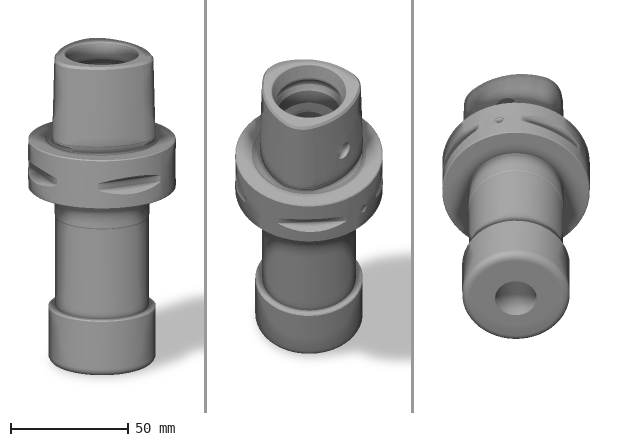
import cadquery as cq
import math

TOTAL_HEIGHT = 138.0
NUT_TOP_Z = 25.3
SHANK_STEP_Z = 65.8
NECK_Z = 77.0
FLANGE_BOTTOM_Z = 78.1
GRIP_Z = 88.0
FLANGE_TOP_Z = 100.0
TAPER_FOOT_Z = 102.3
TAPER_BOTTOM_Z = 102.7
SIDE_HOLE_Z = 115.5
TAPER_TOP_Z = 136.9

FLANGE_DIAMETER = 63.0
NECK_DIAMETER = 40.8
UPPER_SHANK_DIAMETER = 40.5
LOWER_SHANK_DIAMETER = 40.0
NUT_DIAMETER = 46.0
NUT_BOTTOM_FILLET = 3.3
EDGE_CHAMFER = 0.4

MEAN_DIAMETER_BOTTOM = 44.2
MEAN_DIAMETER_TOP = 42.4
LOBE_ECCENTRICITY = 1.5
LOBE_HALF_ANGLE = 28
TAPER_TOP_INSET = 0.8
TAPER_FOOT_INSET = 0.1
LOBES = 3

RELIEF_RING_RADIUS = 23.6
RELIEF_RING_HEIGHT = 0.7
RELIEF_GROOVE_RADIUS = 1.1

THROUGH_DIAMETER = 17.8
THROUGH_CHAMFER = 0.8
DEEP_BORE_DIAMETER = 27.0
DEEP_BORE_FLOOR_Z = 117.3
DEEP_BORE_TOP_Z = 124.6
GROOVE_DIAMETER = 32.0
GROOVE_FLOOR_DIAMETER = 30.0
GROOVE_FLOOR_Z = 126.1
GROOVE_FLARE_Z = 128.3
THROAT_DIAMETER = 28.0
THROAT_BOTTOM_Z = 131.0
THROAT_TOP_Z = 131.9
MOUTH_DIAMETER = 31.3
MOUTH_FILLET = 0.8

SLOT_COUNT = 4
SLOT_FLOOR_DISTANCE = 27.9
SLOT_FLOOR_WIDTH = 3.0
SLOT_CORNER_FILLET = 0.5
SLOT_MOUTH_WIDTH = 7.7
SIDE_HOLE_DIAMETER = 8.1
RIM_HOLE_DIAMETER = 4.0
SIDE_HOLE_WALL_DEPTH = 5.1
RIM_HOLE_WALL_DEPTH = 0.3
DRILL_POINT_ANGLE = 118

FLANGE_RADIUS = FLANGE_DIAMETER / 2
MEAN_RADIUS_BOTTOM = MEAN_DIAMETER_BOTTOM / 2
MEAN_RADIUS_TOP = MEAN_DIAMETER_TOP / 2


def revolve_about_z(profile):
    """Turn a closed profile drawn as (radius, height) once around the Z axis."""
    return profile.close().revolve(360, (0, 0, 0), (0, 1, 0))


def polygon_point(mean_radius, angle):
    """Point of a three-lobed constant-width curve whose outward normal is at the given angle."""
    support = mean_radius + LOBE_ECCENTRICITY * math.cos(LOBES * angle)
    slope = -LOBES * LOBE_ECCENTRICITY * math.sin(LOBES * angle)
    x = support * math.cos(angle) - slope * math.sin(angle)
    y = support * math.sin(angle) + slope * math.cos(angle)
    return x, y


def polygon_outline(mean_radius, z):
    """Closed outline of alternating lobe arcs and flat-side arcs at height z."""
    lobe_half = math.radians(LOBE_HALF_ANGLE)
    pitch = 2 * math.pi / LOBES
    outline = cq.Workplane("XY", origin=(0, 0, z)).moveTo(*polygon_point(mean_radius, -lobe_half))
    for i in range(LOBES):
        lobe = i * pitch
        outline = outline.threePointArc(
            polygon_point(mean_radius, lobe),
            polygon_point(mean_radius, lobe + lobe_half),
        )
        outline = outline.threePointArc(
            polygon_point(mean_radius, lobe + pitch / 2),
            polygon_point(mean_radius, lobe + pitch - lobe_half),
        )
    return outline.close().val()


def polygon_taper():
    foot_radius = MEAN_RADIUS_BOTTOM - TAPER_FOOT_INSET
    sections = [
        polygon_outline(foot_radius, FLANGE_BOTTOM_Z),
        polygon_outline(foot_radius, TAPER_FOOT_Z),
        polygon_outline(MEAN_RADIUS_BOTTOM, TAPER_BOTTOM_Z),
        polygon_outline(MEAN_RADIUS_TOP, TAPER_TOP_Z),
        polygon_outline(MEAN_RADIUS_TOP - TAPER_TOP_INSET, TOTAL_HEIGHT),
    ]
    return cq.Workplane(cq.Solid.makeLoft(sections, True))


def flange_and_shank():
    neck = NECK_DIAMETER / 2
    upper = UPPER_SHANK_DIAMETER / 2
    lower = LOWER_SHANK_DIAMETER / 2
    profile = cq.Workplane("XZ").polyline([
        (0, NUT_TOP_Z),
        (lower, NUT_TOP_Z),
        (lower, SHANK_STEP_Z - EDGE_CHAMFER),
        (upper, SHANK_STEP_Z),
        (upper, NECK_Z),
        (neck, FLANGE_BOTTOM_Z),
        (FLANGE_RADIUS - EDGE_CHAMFER, FLANGE_BOTTOM_Z),
        (FLANGE_RADIUS, FLANGE_BOTTOM_Z + EDGE_CHAMFER),
        (FLANGE_RADIUS, FLANGE_TOP_Z - EDGE_CHAMFER),
        (FLANGE_RADIUS - EDGE_CHAMFER, FLANGE_TOP_Z),
        (0, FLANGE_TOP_Z),
    ])
    return revolve_about_z(profile)


def relief_groove():
    """Ring that cuts into the flange face and undercuts the lobes of the taper."""
    profile = cq.Workplane("XZ").center(RELIEF_RING_RADIUS, FLANGE_TOP_Z + RELIEF_RING_HEIGHT)
    profile = profile.circle(RELIEF_GROOVE_RADIUS)
    return profile.revolve(360, (-RELIEF_RING_RADIUS, 0, 0), (-RELIEF_RING_RADIUS, 1, 0))


def holder_bore():
    """Through hole, deep bore, undercut groove and conical mouth, as one turned shape."""
    through = THROUGH_DIAMETER / 2
    deep = DEEP_BORE_DIAMETER / 2
    groove = GROOVE_DIAMETER / 2
    groove_fillet = (GROOVE_DIAMETER - GROOVE_FLOOR_DIAMETER) / 2
    throat = THROAT_DIAMETER / 2
    mouth = MOUTH_DIAMETER / 2
    arc_sag = 1 - math.cos(math.pi / 4)
    groove_sag = groove_fillet * arc_sag
    mouth_sag = MOUTH_FILLET * arc_sag
    profile = (
        cq.Workplane("XZ")
        .moveTo(0, NUT_TOP_Z)
        .lineTo(through, NUT_TOP_Z)
        .lineTo(through, DEEP_BORE_FLOOR_Z - THROUGH_CHAMFER)
        .lineTo(through + THROUGH_CHAMFER, DEEP_BORE_FLOOR_Z)
        .lineTo(deep, DEEP_BORE_FLOOR_Z)
        .lineTo(deep, DEEP_BORE_TOP_Z)
        .lineTo(groove - groove_fillet, GROOVE_FLOOR_Z)
        .threePointArc(
            (groove - groove_sag, GROOVE_FLOOR_Z + groove_sag),
            (groove, GROOVE_FLOOR_Z + groove_fillet),
        )
        .lineTo(groove, GROOVE_FLARE_Z)
        .lineTo(throat, THROAT_BOTTOM_Z)
        .lineTo(throat, THROAT_TOP_Z)
        .lineTo(mouth, TOTAL_HEIGHT - MOUTH_FILLET)
        .threePointArc(
            (mouth + mouth_sag, TOTAL_HEIGHT - mouth_sag),
            (mouth + MOUTH_FILLET, TOTAL_HEIGHT),
        )
        .lineTo(0, TOTAL_HEIGHT)
    )
    return revolve_about_z(profile)


def gripper_slots():
    """Straight slots with sloping sides, milled across the flange rim at the diagonals."""
    floor = SLOT_FLOOR_WIDTH / 2
    mouth = SLOT_MOUTH_WIDTH / 2
    slot = (
        cq.Workplane("XZ")
        .polyline([
            (SLOT_FLOOR_DISTANCE, GRIP_Z - floor),
            (FLANGE_RADIUS, GRIP_Z - mouth),
            (FLANGE_RADIUS, GRIP_Z + mouth),
            (SLOT_FLOOR_DISTANCE, GRIP_Z + floor),
        ])
        .close()
        .extrude(FLANGE_RADIUS, both=True)
        .faces("<X")
        .edges("|Y")
        .fillet(SLOT_CORNER_FILLET)
    )
    pitch = 360 / SLOT_COUNT
    slots = cq.Workplane()
    for i in range(SLOT_COUNT):
        slots = slots.add(slot.rotate((0, 0, 0), (0, 0, 1), pitch * (i + 0.5)))
    return slots.combine()


def drilled_hole(diameter, wall_depth, surface_x, z):
    """Blind drilled hole with a conical bottom, sunk toward +X from a surface facing -X."""
    radius = diameter / 2
    tip = radius / math.tan(math.radians(DRILL_POINT_ANGLE / 2))
    wall_end = surface_x + wall_depth
    profile = cq.Workplane("XZ").polyline([
        (surface_x - radius, z),
        (surface_x - radius, z + radius),
        (wall_end, z + radius),
        (wall_end + tip, z),
    ])
    return profile.close().revolve(360, (0, z, 0), (1, z, 0))


def taper_side_distance(z):
    """Distance from the axis to the middle of a flat side of the taper at height z."""
    share = (z - TAPER_BOTTOM_Z) / (TAPER_TOP_Z - TAPER_BOTTOM_Z)
    mean_radius = MEAN_RADIUS_BOTTOM + share * (MEAN_RADIUS_TOP - MEAN_RADIUS_BOTTOM)
    return mean_radius - LOBE_ECCENTRICITY


def make_holder():
    holder = flange_and_shank().union(polygon_taper())
    holder = holder.cut(relief_groove()).cut(holder_bore()).cut(gripper_slots())
    side_x = -taper_side_distance(SIDE_HOLE_Z)
    holder = holder.cut(drilled_hole(SIDE_HOLE_DIAMETER, SIDE_HOLE_WALL_DEPTH, side_x, SIDE_HOLE_Z))
    return holder.cut(drilled_hole(RIM_HOLE_DIAMETER, RIM_HOLE_WALL_DEPTH, -FLANGE_RADIUS, GRIP_Z))


def make_nut():
    nut = cq.Workplane("XY").circle(NUT_DIAMETER / 2).extrude(NUT_TOP_Z)
    nut = nut.faces("<Z").edges().fillet(NUT_BOTTOM_FILLET)
    nut = nut.faces(">Z").edges().chamfer(EDGE_CHAMFER)
    return nut.faces(">Z").workplane().hole(THROUGH_DIAMETER)


holder = make_holder()
nut = make_nut()

result = cq.Compound.makeCompound([holder.val(), nut.val()])